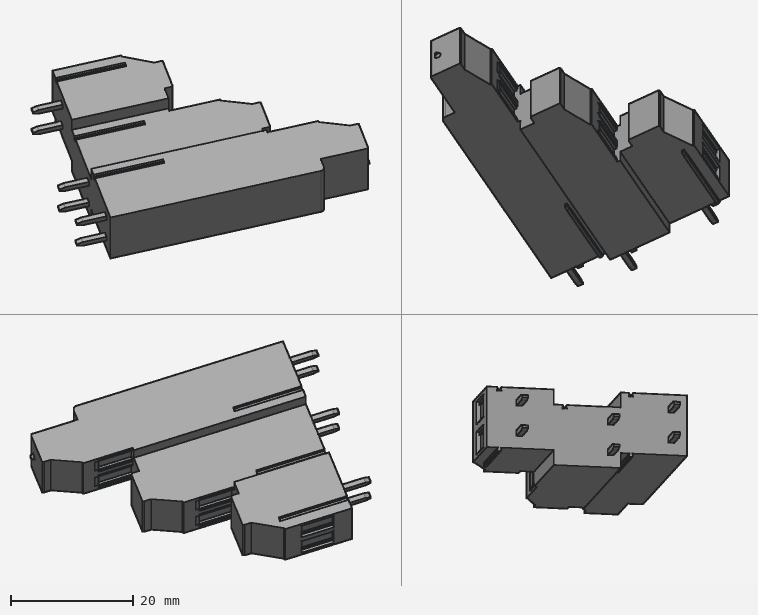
import cadquery as cq

block_pitch = 11.15
total_width = 33.4
block_height = 10.15
middle_drop = 2.5
tier_step = 13.45
block_count = 3
contact_count = 2

wall_inset = 0.5
slope_start = 11.65
lip_width = 0.25
lip_rise = 0.1
slope_end = 16.45
crown_top = 17.9
crown_bevel_width = 0.1
crown_bevel_length = 0.3
crown_corner_radius = 0.25
first_crown_start = 3.0
first_crown_end = 8.9
crown_start = 2.9
crown_end = 8.55
shelf_level = 16.5
last_shelf_level = 36.6
last_shelf_radius = 0.7

contact_pitch = 5.1
first_contact_height = contact_pitch / 2
first_window_start = 3.15
first_window_end = 8.8
window_step = 13.55
window_height = 3.75
inner_window_height = 2.75
first_window_depth = 0.5
first_inner_depth = 0.7
upper_window_depth = 0.15
upper_inner_depth = 0.6
upper_undercut = 0.6

pin_positions = (5.4, 20.6, 30.75)
pin_length = 5.05
pin_root = 1.0
pin_size = 0.95
pin_tip_length = 0.95
pin_tip_height = 0.35

groove_positions = (2.05, 13.0, 24.05)
groove_length = 11.85
rail_length = 11.75
rail_bead_length = 10.75
joint_narrow = 0.45
joint_wide = 0.75
joint_depth = 0.6
joint_waist = joint_depth / 2

nub_position = 29.5
nub_base_radius = 0.55
nub_tip_radius = 0.3
nub_length = 0.5


def base_level(index):
    """Z of a block's lower face."""
    return -middle_drop if index == 1 else 0.0


def contact_level(index, contact):
    """Z of a contact's centre."""
    return base_level(index) + first_contact_height + contact * contact_pitch


def block_outline(index):
    """Outline points of one block, its left wall X and its two rounded corners."""
    left = index * block_pitch
    right = min(left + block_pitch, total_width)
    rise = index * tier_step
    wall = left
    crown_left = left + first_crown_start
    crown_right = left + first_crown_end
    shelf = shelf_level + rise
    points = [(left, 0)]
    if index > 0:
        wall = left + wall_inset
        crown_left = left + crown_start
        crown_right = left + crown_end
        neighbour_shelf = shelf - tier_step
        points += [(left, neighbour_shelf), (wall, neighbour_shelf)]
    if index == block_count - 1:
        shelf = last_shelf_level
    points += [
        (wall, slope_start + rise),
        (wall + lip_width, slope_start + lip_rise + rise),
        (crown_left, slope_end + rise),
        (crown_left, crown_top + rise - crown_bevel_length),
        (crown_left + crown_bevel_width, crown_top + rise),
        (crown_right, crown_top + rise),
        (crown_right, shelf),
        (right, shelf),
        (right, 0),
    ]
    return points, wall, (crown_right, crown_top + rise), (right, shelf)


def upright_edge_at(point):
    """Selector for the vertical edge that stands on an XY point."""
    x, y = point
    margin = 0.05
    reach = block_height + middle_drop
    return cq.selectors.BoxSelector(
        (x - margin, y - margin, -reach), (x + margin, y + margin, reach)
    )


def recess_box(wall, depth, y_range, middle_z, height):
    """Box sunk into a left wall, centred on a contact's height."""
    start, end = y_range
    box = cq.Workplane("XY").box(depth, end - start, height, centered=(False, False, True))
    return box.translate((wall, start, middle_z))


def window_cut(wall, index, contact):
    """Stepped recess in a block's left wall."""
    middle_z = contact_level(index, contact)
    start = first_window_start
    end = first_window_end + index * window_step
    depth = first_window_depth
    inner_depth = first_inner_depth
    inner_end = end
    if index > 0:
        start = shelf_level + (index - 1) * tier_step
        depth = upper_window_depth
        inner_depth = upper_inner_depth
        inner_end = end + upper_undercut
    outer = recess_box(wall, depth, (start, end), middle_z, window_height)
    inner = recess_box(wall, inner_depth, (start, inner_end), middle_z, inner_window_height)
    if index > 0:
        skin = recess_box(wall, depth, (end, inner_end), middle_z, inner_window_height)
        inner = inner.cut(skin)
    return outer.union(inner)


def make_block(index):
    """One block with its two contact windows."""
    points, wall, crown_corner, shelf_corner = block_outline(index)
    block = cq.Workplane("XY").polyline(points).close().extrude(block_height)
    block = block.translate((0, 0, base_level(index)))
    block = block.edges(upright_edge_at(crown_corner)).fillet(crown_corner_radius)
    if index == block_count - 1:
        block = block.edges(upright_edge_at(shelf_corner)).fillet(last_shelf_radius)
    for contact in range(contact_count):
        block = block.cut(window_cut(wall, index, contact))
    return block


def joint_bar(x, z, length, widths):
    """Bar along Y hanging below Z, with its width given at top, waist and bottom."""
    levels = (z, z - joint_waist, z - joint_depth)
    right_side = [(x + width / 2, level) for width, level in zip(widths, levels)]
    left_side = [(x - width / 2, level) for width, level in zip(widths, levels)]
    profile = cq.Workplane("XZ").polyline(right_side + left_side[::-1]).close()
    return profile.extrude(-length)


def make_pin(x, z):
    """Square pin along -Y whose tip tapers in height."""
    half = pin_size / 2
    half_tip = pin_tip_height / 2
    taper_start = pin_tip_length - pin_length
    profile = [
        (pin_root, half),
        (taper_start, half),
        (-pin_length, half_tip),
        (-pin_length, -half_tip),
        (taper_start, -half),
        (pin_root, -half),
    ]
    pin = cq.Workplane("YZ").polyline(profile).close().extrude(half, both=True)
    return pin.translate((x, 0, z))


def make_nub():
    """Blunt cone on the last block's crown, at half height."""
    crown = crown_top + (block_count - 1) * tier_step
    cone = cq.Solid.makeCone(
        nub_base_radius,
        nub_tip_radius,
        nub_length,
        cq.Vector(nub_position, crown, block_height / 2),
        cq.Vector(0, 1, 0),
    )
    return cq.Workplane("XY").add(cone)


body = make_block(0)
for index in range(1, block_count):
    body = body.union(make_block(index))

for index, x in enumerate(groove_positions):
    groove_top = base_level(index) + block_height
    body = body.cut(joint_bar(x, groove_top, groove_length, (joint_wide, joint_narrow, joint_wide)))

for x in (groove_positions[0], groove_positions[-1]):
    bead = joint_bar(x, 0, rail_bead_length, (joint_narrow, joint_wide, joint_narrow))
    core = joint_bar(x, 0, rail_length, (joint_narrow, joint_narrow, joint_narrow))
    body = body.union(core).union(bead)

for index, x in enumerate(pin_positions):
    for contact in range(contact_count):
        body = body.union(make_pin(x, contact_level(index, contact)))

result = body.union(make_nub())